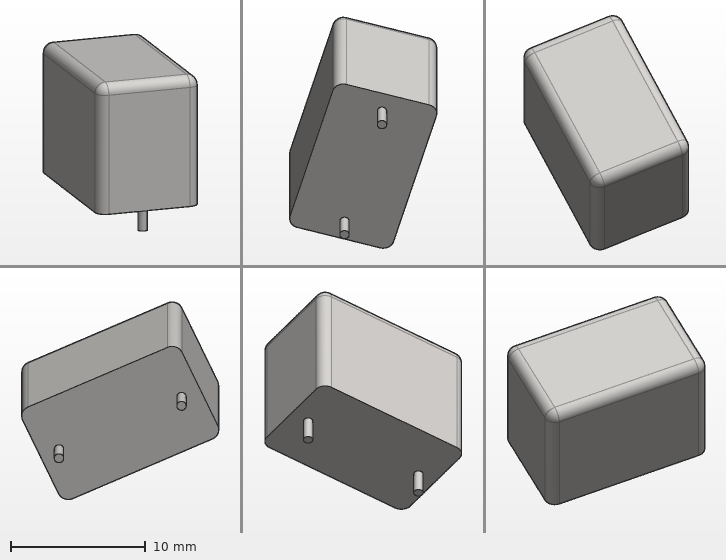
import cadquery as cq

body_length = 13.0
body_width = 8.0
total_height = 11.9
edge_radius = 0.8

pin_diameter = 0.7
pin_length = 1.9
pin_pitch = 10.0

body_height = total_height - pin_length


def make_body():
    """Box with rounded upright and top edges and a sharp bottom rim."""
    box = cq.Workplane("XY").box(body_length, body_width, body_height, centered=(True, True, False))
    return box.edges("|Z or >Z").fillet(edge_radius)


def make_pins():
    """Pins spaced along X on the centre line, hanging from the bottom face."""
    pin_centers = [(-pin_pitch / 2, 0), (pin_pitch / 2, 0)]
    return cq.Workplane("XY").pushPoints(pin_centers).circle(pin_diameter / 2).extrude(-pin_length)


result = make_body().union(make_pins())